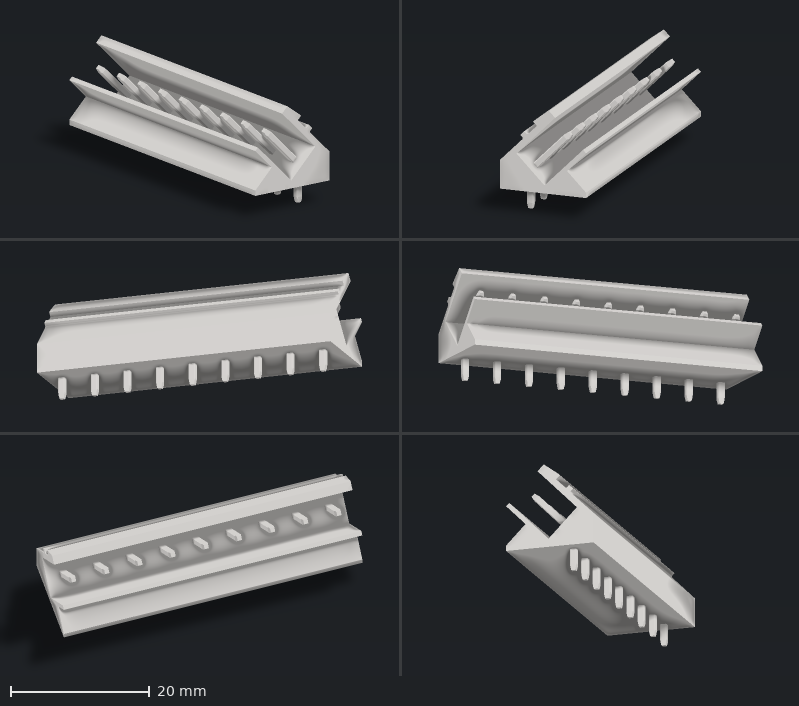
import cadquery as cq
import math

ROOT2 = math.sqrt(2)

length = 45
depth = 13.3
height = 12.45

slot_floor = 5.7
slot_back = 2.1
slot_front = -4.0
wall_tip = 14.18
wall_back = 3.05
toe_top = 10.0
hook_rise = 11.1
hook_back = 3.85
hook_land = 0.4
hook_tip_back = height * ROOT2 - wall_tip
lip_front = wall_tip - depth * ROOT2

rib_low = 8.15
rib_width = 0.85
rib_back = 3.75
rib_fillet = 0.22

pin_count = 9
pin_pitch = length / pin_count
pin_width = 1.0
pin_chamfer = 0.15
tip_width = 0.65
tip_length = 0.9
tail_depth = 3.82
tail_length = 3.15
contact_offset = -0.9
contact_tip = 13.2


def tilted(rise, offset):
    """(y, z) of a point given along and across the slot."""
    return ((offset - rise) / ROOT2, (rise + offset) / ROOT2)


def make_housing():
    rib_high = rib_low + rib_width
    fillet_top = wall_back + rib_fillet
    fillet_middle = rib_fillet * (1 - 1 / ROOT2)
    profile = (
        cq.Workplane("YZ", origin=(-length / 2, 0, 0))
        .moveTo(0, 0)
        .lineTo(0, wall_back * ROOT2)
        .lineTo(*tilted(rib_low - rib_fillet, wall_back))
        .threePointArc(
            tilted(rib_low - fillet_middle, wall_back + fillet_middle),
            tilted(rib_low, fillet_top),
        )
        .lineTo(*tilted(rib_low, rib_back))
        .lineTo(*tilted(rib_high, rib_back))
        .lineTo(*tilted(rib_high, fillet_top))
        .threePointArc(
            tilted(rib_high + fillet_middle, wall_back + fillet_middle),
            tilted(rib_high + rib_fillet, wall_back),
        )
        .lineTo(*tilted(hook_rise, wall_back))
        .lineTo(*tilted(hook_rise, hook_back))
        .lineTo(*tilted(hook_rise + hook_land, hook_back))
        .lineTo(*tilted(wall_tip, hook_tip_back))
        .lineTo(*tilted(wall_tip, slot_back))
        .lineTo(*tilted(slot_floor, slot_back))
        .lineTo(*tilted(slot_floor, slot_front))
        .lineTo(*tilted(wall_tip, slot_front))
        .lineTo(*tilted(wall_tip, lip_front))
        .lineTo(*tilted(toe_top, lip_front))
        .lineTo(-depth, toe_top * ROOT2 - depth)
        .lineTo(-depth, 0)
        .close()
    )
    return profile.extrude(length)


def pin_end(x, base, direction):
    """Plane across the pin at a (y, z) point, facing along direction."""
    return cq.Plane((x, *base), xDir=(1, 0, 0), normal=(0, *direction))


def octagon(plane):
    """Square pin section with cut corners."""
    half = pin_width / 2
    flat = half - pin_chamfer
    corners = [
        (half, -flat), (half, flat), (flat, half), (-flat, half),
        (-half, flat), (-half, -flat), (-flat, -half), (flat, -half),
    ]
    return cq.Workplane(plane).polyline(corners).close()


def pin_tip(plane):
    """Pyramid-like end: the four sides taper while the cut corners run on straight."""
    corner_bar = octagon(plane).extrude(tip_length)
    taper = (
        cq.Workplane(plane)
        .rect(pin_width, pin_width)
        .workplane(offset=tip_length)
        .rect(tip_width, tip_width)
        .loft(ruled=True)
    )
    return corner_bar.intersect(taper)


def make_pin(x):
    tail_base = (-tail_depth, tip_length - tail_length)
    bend = (-tail_depth, tail_depth + contact_offset * ROOT2)
    contact_base = tilted(contact_tip - tip_length, contact_offset)

    path = cq.Workplane("YZ", origin=(x, 0, 0)).polyline([tail_base, bend, contact_base])
    shank = octagon(pin_end(x, tail_base, (0, 1))).sweep(path, transition="right")
    tail_tip = pin_tip(pin_end(x, tail_base, (0, -1)))
    contact_end = pin_tip(pin_end(x, contact_base, (-1, 1)))
    return shank.union(tail_tip).union(contact_end)


pins = []
for index in range(pin_count):
    pins.append(make_pin((index - (pin_count - 1) / 2) * pin_pitch))

housing = make_housing()
for pin in pins:
    housing = housing.cut(pin)

result = cq.Compound.makeCompound([housing.val(), *[pin.val() for pin in pins]])